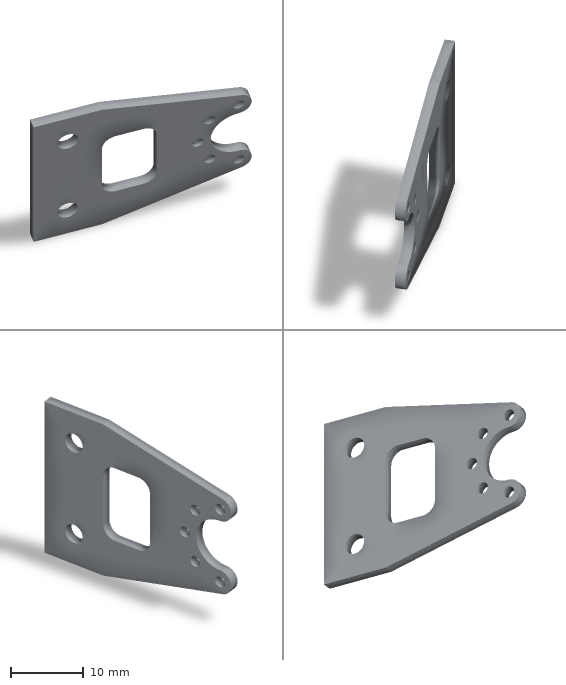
import cadquery as cq
import math

thickness = 1.5
length = 31.9
height = 25.0
shoulder_y = 10.02

pitch_radius = 6.0
lug_radius = 1.9
lug_y = length - lug_radius
bite_radius = pitch_radius - lug_radius
small_hole_diameter = 1.7
small_hole_angles = range(-90, 91, 45)

mount_hole_diameter = 3.0
mount_hole_y = 5.0
mount_hole_z = 7.5

window_length = 8.0
window_height = 12.0
window_corner_radius = 2.0
window_y = shoulder_y + window_length / 2


def taper_tangent_point():
    """Point where the taper line from the shoulder touches the upper lug."""
    run = lug_y - shoulder_y
    drop = height / 2 - pitch_radius
    distance = math.hypot(run, drop)
    normal_angle = math.atan2(drop, -run) - math.acos(lug_radius / distance)
    return (
        lug_y + lug_radius * math.cos(normal_angle),
        pitch_radius + lug_radius * math.sin(normal_angle),
    )


def plate():
    half_height = height / 2
    tangent_y, tangent_z = taper_tangent_point()
    return (
        cq.Workplane("YZ")
        .moveTo(0, -half_height)
        .lineTo(shoulder_y, -half_height)
        .lineTo(tangent_y, -tangent_z)
        .threePointArc((length, -pitch_radius), (lug_y, -bite_radius))
        .threePointArc((lug_y - bite_radius, 0), (lug_y, bite_radius))
        .threePointArc((length, pitch_radius), (tangent_y, tangent_z))
        .lineTo(shoulder_y, half_height)
        .lineTo(0, half_height)
        .close()
        .extrude(thickness)
    )


def window():
    return (
        cq.Workplane("YZ")
        .center(window_y, 0)
        .rect(window_length, window_height)
        .extrude(thickness)
        .edges("|X")
        .fillet(window_corner_radius)
    )


def hole_cutters(centers, diameter):
    return cq.Workplane("YZ").pushPoints(centers).circle(diameter / 2).extrude(thickness)


small_hole_centers = [
    (
        lug_y - pitch_radius * math.cos(math.radians(angle)),
        pitch_radius * math.sin(math.radians(angle)),
    )
    for angle in small_hole_angles
]
mount_hole_centers = [(mount_hole_y, side * mount_hole_z) for side in (-1, 1)]

result = (
    plate()
    .cut(window())
    .cut(hole_cutters(small_hole_centers, small_hole_diameter))
    .cut(hole_cutters(mount_hole_centers, mount_hole_diameter))
)